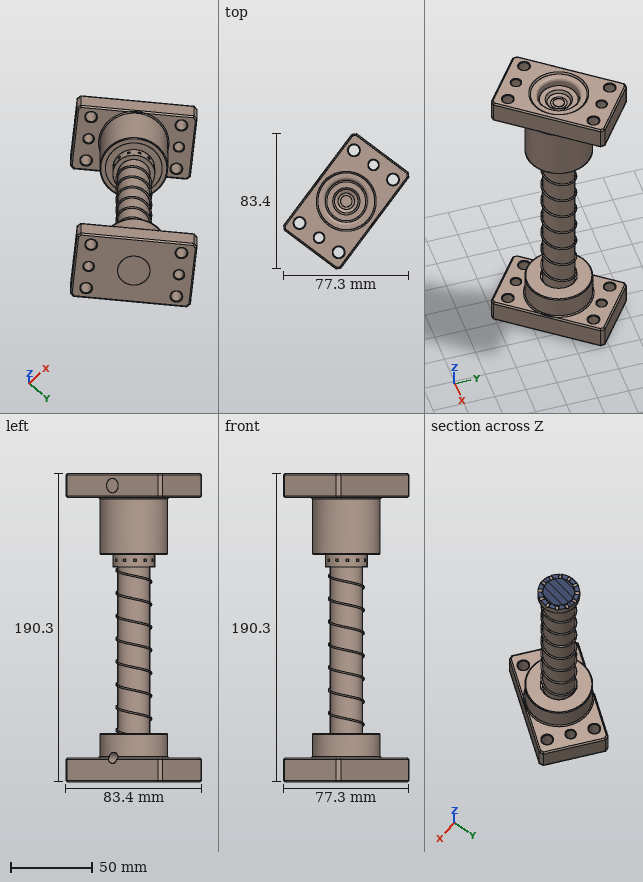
import cadquery as cq


total_height = 190.3
flange_angle = 53.2
flange_length = 74.2
flange_width = 44.0
flange_thickness = 15.0
flange_corner = 2.0
edge_chamfer = 1.0

hole_spacing_x = 56.0
hole_spacing_y = 30.0
corner_hole_dia = 6.9
middle_hole_dia = 6.0
hole_chamfer = 0.48

collar_dia = 41.9
collar_foot = 0.8
collar_chamfer = 0.5
housing_collar_length = 34.8
base_collar_length = 15.0
vent_dia = 6.9

post_dia = 20.0
bush_dia = 35.0
bush_mouth = 2.0

cage_dia = 25.9
cage_bottom = 132.6
ball_hole_dia = 1.7
ball_holes = 12
ball_hole_phase = 3.5
ball_hole_height = 4.2

cap_dia = 24.0
cap_depth = 5.5
cap_thickness = 5.9
dish_mouth_dia = 16.7
dish_step_dia = 14.5
dish_step_depth = 1.9
dish_floor_dia = 10.0
dish_depth = 2.9
dish_sagitta = 0.2
screw_dia = 7.0
screw_rise = 0.4
screw_length = 17.1

spring_pitch = 14.0
spring_turns = 7.3
wire_dia = 1.03
spring_gap = 0.08
spring_start = 28.5
spring_seat_dia = 22.6
spring_seat_depth = 2.5

plug_dia = 9.0
plug_length = 3.8

housing_bottom = total_height - flange_thickness
housing_collar_bottom = housing_bottom - housing_collar_length
base_top = flange_thickness + base_collar_length
bush_top = total_height - edge_chamfer
cap_top = total_height - cap_depth
cap_bottom = cap_top - cap_thickness
screw_top = cap_top - dish_depth + screw_rise
screw_bottom = screw_top - screw_length
plug_height = total_height - flange_thickness / 2


def cylinder(diameter, bottom, top):
    return cq.Workplane("XY").workplane(offset=bottom).circle(diameter / 2).extrude(top - bottom)


def cone(bottom_diameter, top_diameter, bottom, height):
    solid = cq.Solid.makeCone(bottom_diameter / 2, top_diameter / 2, height, cq.Vector(0, 0, bottom))
    return cq.Workplane(solid)


def side_cylinder(diameter, depth, height):
    """Horizontal cylinder going inward from the long +Y side of an unrotated flange."""
    plane = cq.Plane(origin=(0, flange_width / 2, height), xDir=(1, 0, 0), normal=(0, -1, 0))
    return cq.Workplane(plane).circle(diameter / 2).extrude(depth)


def turned(body):
    """Turn a body to the flange direction."""
    return body.rotate((0, 0, 0), (0, 0, 1), flange_angle)


def flange_hole(x, y, diameter):
    """Cutter for a through hole chamfered at both ends."""
    mouth_dia = diameter + 2 * hole_chamfer
    cutter = cylinder(diameter, 0, flange_thickness)
    cutter = cutter.union(cone(mouth_dia, diameter, 0, hole_chamfer))
    cutter = cutter.union(cone(diameter, mouth_dia, flange_thickness - hole_chamfer, hole_chamfer))
    return cutter.translate((x, y, 0))


def flange_plate():
    """Chamfered rectangular plate with three holes at each end."""
    plate = cq.Workplane("XY").rect(flange_length, flange_width).extrude(flange_thickness)
    plate = plate.edges("|Z").chamfer(flange_corner)
    plate = plate.faces("<Z or >Z").edges().chamfer(edge_chamfer)
    for x in (-hole_spacing_x / 2, hole_spacing_x / 2):
        plate = plate.cut(flange_hole(x, 0, middle_hole_dia))
        for y in (-hole_spacing_y / 2, hole_spacing_y / 2):
            plate = plate.cut(flange_hole(x, y, corner_hole_dia))
    return plate


def make_base():
    """Lower flange with collar, post bore, spring seat and radial vent hole."""
    collar = cylinder(collar_dia, 0, base_top).faces(">Z").chamfer(collar_chamfer)
    foot = cone(collar_dia + 2 * collar_foot, collar_dia, flange_thickness, collar_foot)
    base = flange_plate().union(collar).union(foot)
    base = base.cut(cylinder(post_dia, 0, base_top))
    base = base.cut(cylinder(spring_seat_dia, base_top - spring_seat_depth, base_top))
    base = base.cut(side_cylinder(vent_dia, (flange_width - post_dia) / 2, flange_thickness))
    return turned(base)


def make_housing():
    """Upper flange with a long collar hanging below it, bored for the bush and the plug."""
    plate = flange_plate().translate((0, 0, housing_bottom))
    collar = cylinder(collar_dia, housing_collar_bottom, bush_top)
    collar = collar.faces("<Z").chamfer(collar_chamfer)
    foot = cone(collar_dia, collar_dia + 2 * collar_foot, housing_bottom - collar_foot, collar_foot)
    housing = plate.union(collar).union(foot)
    housing = housing.cut(cylinder(bush_dia, housing_collar_bottom, total_height))
    housing = housing.cut(cone(bush_dia, bush_dia + 2 * edge_chamfer, bush_top, edge_chamfer))
    housing = housing.cut(side_cylinder(plug_dia, plug_length, plug_height))
    return turned(housing)


def make_plug():
    """Round plug, flush with the long side of the housing."""
    return turned(side_cylinder(plug_dia, plug_length, plug_height))


def make_bush():
    """Guide bush with a rounded mouth, held in the housing."""
    bush = cylinder(bush_dia, housing_collar_bottom, bush_top)
    bush = bush.cut(cylinder(cage_dia, housing_collar_bottom, bush_top))
    return bush.faces(">Z").edges(cq.selectors.RadiusNthSelector(0)).fillet(bush_mouth)


def make_cage():
    """Ball cage between post and bush, with a ring of radial holes near its lower end."""
    cage = cylinder(cage_dia, cage_bottom, cap_bottom).cut(cylinder(post_dia, cage_bottom, cap_bottom))
    hole = cq.Workplane("YZ").workplane(offset=post_dia / 4).circle(ball_hole_dia / 2).extrude(cage_dia / 2)
    hole = hole.translate((0, 0, cage_bottom + ball_hole_height))
    for i in range(ball_holes):
        cage = cage.cut(hole.rotate((0, 0, 0), (0, 0, 1), ball_hole_phase + i * 360 / ball_holes))
    return cage


def make_cap():
    """Stop disc on the post end, with a dished recess around the screw."""
    step_level = cap_top - dish_step_depth
    floor_level = cap_top - dish_depth
    profile = (
        cq.Workplane("XZ")
        .moveTo(screw_dia / 2, cap_bottom)
        .lineTo(cap_dia / 2, cap_bottom)
        .lineTo(cap_dia / 2, cap_top)
        .lineTo(dish_mouth_dia / 2, cap_top)
        .lineTo(dish_step_dia / 2, step_level)
        .sagittaArc((dish_floor_dia / 2, floor_level), -dish_sagitta)
        .lineTo(screw_dia / 2, floor_level)
        .close()
    )
    return profile.revolve(360, (0, 0, 0), (0, 1, 0))


def make_screw():
    """Plain round screw holding the cap to the post."""
    return cylinder(screw_dia, screw_bottom, screw_top)


def make_post():
    """Guide post from the underside of the base to the cap, bored for the screw."""
    return cylinder(post_dia, 0, cap_bottom).cut(cylinder(screw_dia, screw_bottom, cap_bottom))


def make_spring():
    """Left-handed coil spring around the post, starting in the seat on the -X side."""
    coil_radius = post_dia / 2 + spring_gap + wire_dia / 2
    helix = cq.Wire.makeHelix(spring_pitch, spring_pitch * spring_turns, coil_radius, lefthand=True)
    section = cq.Workplane("XZ").center(coil_radius, 0).circle(wire_dia / 2)
    coil = section.sweep(cq.Workplane(helix), isFrenet=True)
    return coil.rotate((0, 0, 0), (0, 0, 1), 180).translate((0, 0, spring_start))


base = make_base()
post = make_post()
spring = make_spring()
cage = make_cage()
bush = make_bush()
housing = make_housing()
plug = make_plug()
cap = make_cap()
screw = make_screw()

result = cq.Compound.makeCompound(
    [body.val() for body in (base, post, spring, cage, bush, housing, plug, cap, screw)]
)